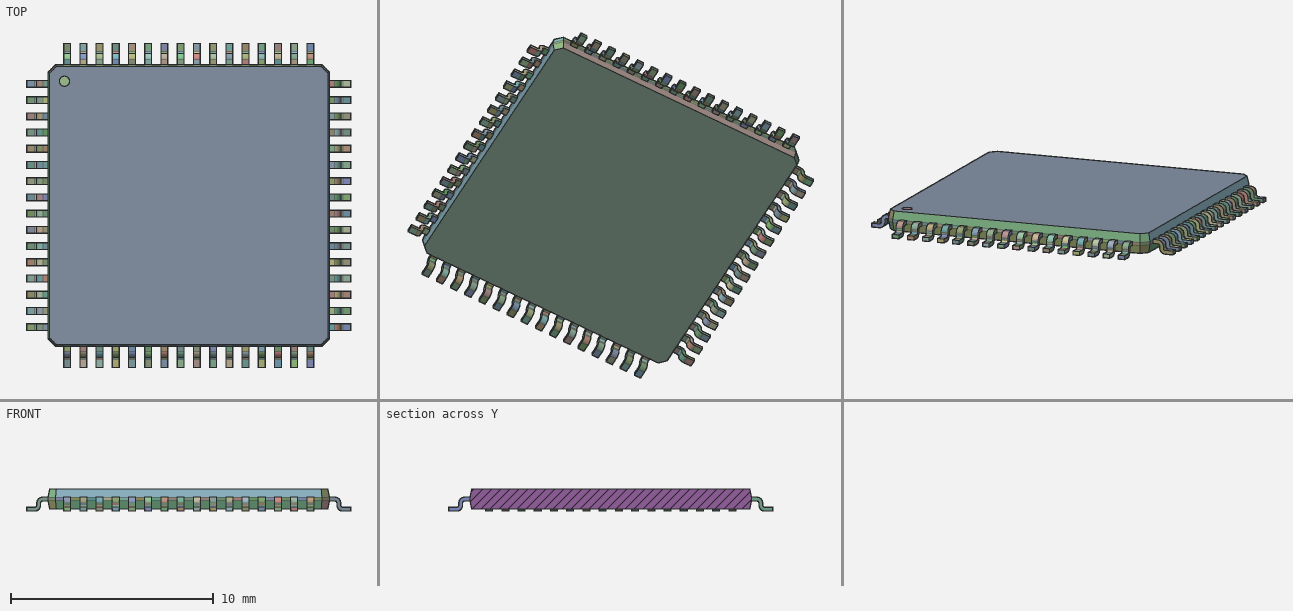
import cadquery as cq
import math

lead_span = 16.0
overall_height = 1.1
standoff = 0.1

body_width = 13.9
corner_chamfer = 0.38
draft_angle = 12.0
band_height = 0.15

leads_per_side = 16
lead_pitch = 0.8
lead_width = 0.35
lead_thickness = 0.2
lead_height = 0.7
foot_length = 0.4
inner_bend_radius = 0.1
lead_embed = 0.3

mark_diameter = 0.5
mark_depth = 0.1
mark_offset = 6.13

lead_underside = lead_height - lead_thickness
band_middle = (lead_height + lead_underside) / 2
band_bottom = band_middle - band_height / 2
band_top = band_middle + band_height / 2

outer_bend_radius = inner_bend_radius + lead_thickness


def body_outline(z):
    """Square with chamfered corners, drawn at height z."""
    half = body_width / 2
    edge = half - corner_chamfer
    points = [
        (-edge, -half),
        (edge, -half),
        (half, -edge),
        (half, edge),
        (edge, half),
        (-edge, half),
        (-half, edge),
        (-half, -edge),
    ]
    return cq.Workplane("XY").workplane(offset=z).polyline(points).close()


def make_body():
    band = body_outline(band_bottom).extrude(band_height)
    upper = body_outline(band_top).extrude(overall_height - band_top, taper=draft_angle)
    lower = body_outline(band_bottom).extrude(standoff - band_bottom, taper=draft_angle)
    return band.union(upper).union(lower)


def make_lead():
    """Gull-wing lead on the +X side, centred on Y = 0."""
    diagonal = math.cos(math.pi / 4)
    toe = lead_span / 2
    heel = toe - foot_length
    shank_outer = heel - inner_bend_radius
    shank_inner = shank_outer - lead_thickness
    shoulder = shank_inner - inner_bend_radius
    root = body_width / 2 - lead_embed
    foot_bend = outer_bend_radius
    shoulder_bend = lead_height - outer_bend_radius

    inner_reach = inner_bend_radius * diagonal
    outer_reach = outer_bend_radius * diagonal
    profile = (
        cq.Workplane("XZ")
        .moveTo(toe, 0)
        .lineTo(toe, lead_thickness)
        .lineTo(heel, lead_thickness)
        .threePointArc((heel - inner_reach, foot_bend - inner_reach), (shank_outer, foot_bend))
        .lineTo(shank_outer, shoulder_bend)
        .threePointArc((shoulder + outer_reach, shoulder_bend + outer_reach), (shoulder, lead_height))
        .lineTo(root, lead_height)
        .lineTo(root, lead_underside)
        .lineTo(shoulder, lead_underside)
        .threePointArc((shoulder + inner_reach, shoulder_bend + inner_reach), (shank_inner, shoulder_bend))
        .lineTo(shank_inner, foot_bend)
        .threePointArc((heel - outer_reach, foot_bend - outer_reach), (heel, 0))
        .close()
    )
    return profile.extrude(lead_width / 2, both=True)


def make_leads():
    """All leads: a row along each of the four sides."""
    lead = make_lead().val()
    row_start = -lead_pitch * (leads_per_side - 1) / 2
    leads = []
    for side_angle in (0, 90, 180, 270):
        for index in range(leads_per_side):
            placed = lead.translate(cq.Vector(0, row_start + index * lead_pitch, 0))
            leads.append(placed.rotate(cq.Vector(0, 0, 0), cq.Vector(0, 0, 1), side_angle))
    return leads


def make_pin_one_mark():
    """Cutter for the recess in the top face near the (-X, +Y) corner."""
    return (
        cq.Workplane("XY")
        .workplane(offset=overall_height - mark_depth)
        .center(-mark_offset, mark_offset)
        .circle(mark_diameter / 2)
        .extrude(mark_depth)
    )


marked_body = make_body().cut(make_pin_one_mark()).val()
result = cq.Workplane("XY").newObject([marked_body.fuse(*make_leads()).solids()])